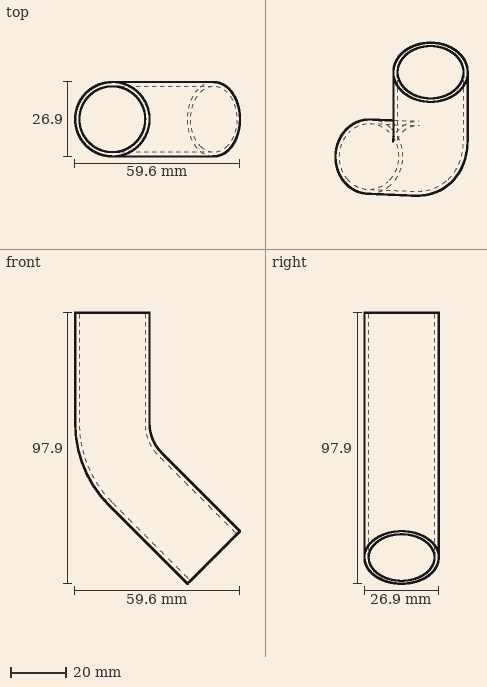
import cadquery as cq
import math

outer_diameter = 26.9
wall = 1.6
overall_height = 97.95
bend_radius = 28.4
bend_angle = 45.0

inner_diameter = outer_diameter - 2 * wall
angle = math.radians(bend_angle)
bend_height = (bend_radius + outer_diameter / 2) * math.sin(angle)
leg_length = (overall_height - bend_height) / (1 + math.cos(angle))


def bend_point(turn):
    """Centreline point, in XZ, after turning through the given angle."""
    return (bend_radius * (1 - math.cos(turn)), -bend_radius * math.sin(turn))


bend_end_x, bend_end_z = bend_point(angle)
lower_end = (
    bend_end_x + leg_length * math.sin(angle),
    bend_end_z - leg_length * math.cos(angle),
)
centreline = (
    cq.Workplane("XZ")
    .moveTo(0, leg_length)
    .lineTo(0, 0)
    .threePointArc(bend_point(angle / 2), (bend_end_x, bend_end_z))
    .lineTo(*lower_end)
)

result = (
    cq.Workplane("XY", origin=(0, 0, leg_length))
    .circle(outer_diameter / 2)
    .circle(inner_diameter / 2)
    .sweep(centreline)
)